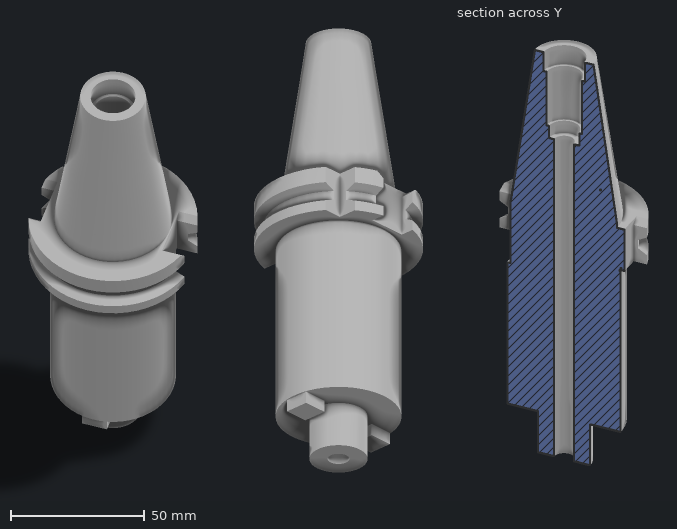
import cadquery as cq
import math

total_height = 176.4
body_bottom = 18.0
flange_bottom = 89.0
flange_top = 107.5
gauge_height = 108.3
relief_height = 0.9

pilot_radius = 11.0
body_radius = 23.6
relief_radius = 23.1
flange_radius = 31.8
taper_large_radius = 22.2
taper_ratio = 7 / 24
taper_small_radius = taper_large_radius - (total_height - gauge_height) * taper_ratio / 2

groove_radius = 28.2
groove_floor_width = 3.7
groove_centre = 97.0
groove_floor_half = groove_floor_width / 2
groove_mouth_half = groove_floor_half + (flange_radius - groove_radius) * math.tan(math.radians(30))

slot_width = 15.9
left_slot_floor = 25.2
right_slot_floor = 22.5
slot_end_drop = 0.9
slot_chamfer = 2.5

notch_x = -18.2
notch_y = 18.3

key_width = 9.9
key_height = 4.8
key_inner = 12.9
key_outer = 22.8

through_radius = 4.0
counterbore_radius = 8.5
counterbore_depth = 8.3
thread_radius = 7.2
thread_depth = 31.8
pilot_hole_radius = 6.2
pilot_hole_depth = 37.0


def revolved_body():
    """Pilot, body, grooved flange and taper as one solid of revolution."""
    profile = [
        (0, 0),
        (pilot_radius, 0),
        (pilot_radius, body_bottom),
        (body_radius, body_bottom),
        (body_radius, flange_bottom - relief_height),
        (relief_radius, flange_bottom),
        (flange_radius, flange_bottom),
        (flange_radius, groove_centre - groove_mouth_half),
        (groove_radius, groove_centre - groove_floor_half),
        (groove_radius, groove_centre + groove_floor_half),
        (flange_radius, groove_centre + groove_mouth_half),
        (flange_radius, flange_top),
        (taper_large_radius, flange_top),
        (taper_large_radius, gauge_height),
        (taper_small_radius, total_height),
        (0, total_height),
    ]
    return cq.Workplane("XZ").polyline(profile).close().revolve(360, (0, 0), (0, 1))


def drive_slot(side, floor):
    """Cutter for one slot: chamfered mouth at the top, round end at the bottom."""
    half = slot_width / 2
    end_centre = flange_bottom - slot_end_drop
    outline = (
        cq.Workplane("YZ", origin=(side * floor, 0, 0))
        .moveTo(-half, end_centre)
        .lineTo(-half, flange_top - slot_chamfer)
        .lineTo(-half - slot_chamfer, flange_top)
        .lineTo(half + slot_chamfer, flange_top)
        .lineTo(half, flange_top - slot_chamfer)
        .lineTo(half, end_centre)
        .threePointArc((0, end_centre - half), (-half, end_centre))
        .close()
    )
    return outline.extrude(side * flange_radius)


def orientation_notch():
    """Cutter removing one corner of the flange over its full height."""
    return (
        cq.Workplane("XY")
        .box(flange_radius, flange_radius, flange_top - flange_bottom, centered=False)
        .translate((notch_x - flange_radius, notch_y, flange_bottom))
    )


def drive_key(side):
    """Rectangular key on the lower face of the body."""
    key_middle = (key_inner + key_outer) / 2
    return (
        cq.Workplane("XY", origin=(0, side * key_middle, body_bottom))
        .rect(key_width, key_outer - key_inner)
        .extrude(-key_height)
    )


def axial_bore():
    """Stepped hole through the whole length of the part."""
    thread_start = total_height - counterbore_depth
    thread_end = total_height - thread_depth
    pilot_hole_end = total_height - pilot_hole_depth
    profile = [
        (0, 0),
        (through_radius, 0),
        (through_radius, pilot_hole_end),
        (pilot_hole_radius, pilot_hole_end),
        (pilot_hole_radius, thread_end),
        (thread_radius, thread_end),
        (thread_radius, thread_start),
        (counterbore_radius, thread_start),
        (counterbore_radius, total_height),
        (0, total_height),
    ]
    return cq.Workplane("XZ").polyline(profile).close().revolve(360, (0, 0), (0, 1))


result = revolved_body()
for side in (-1, 1):
    result = result.union(drive_key(side))
result = result.cut(drive_slot(-1, left_slot_floor))
result = result.cut(drive_slot(1, right_slot_floor))
result = result.cut(orientation_notch())
result = result.cut(axial_bore())